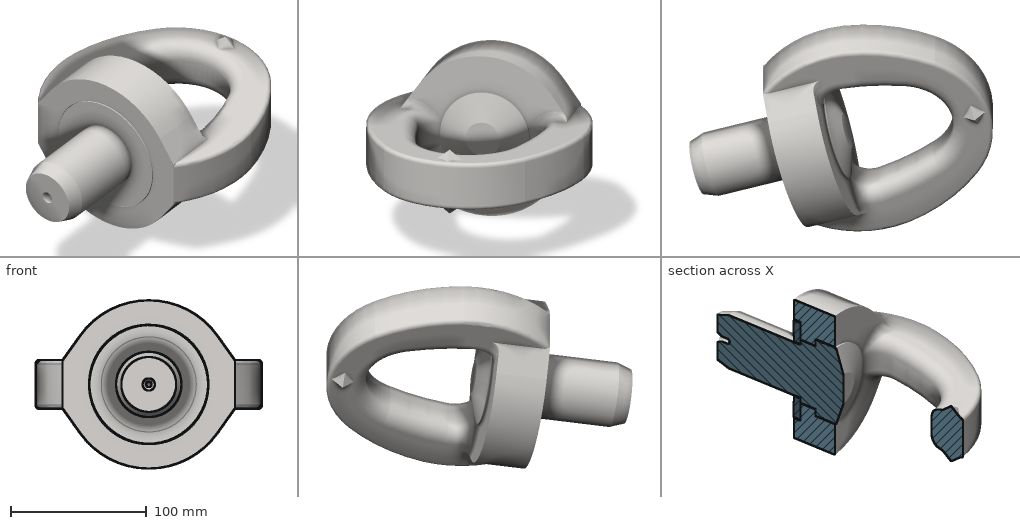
import cadquery as cq
import math


ring_top = 154.3
ring_thickness = 36.0
ring_half = ring_thickness / 2
ring_foot_half_width = 63.3
crown_radius = 70.0
crown_half_angle = 50.0
flank_end = (82.3, 67.9)
ring_half_width = 83.36
ring_widest_y = 54.5
outer_fillet = 3.0

window_top = 125.2
window_crown_radius = 38.0
window_crown_half_angle = 68.0
window_side_end = (46.9, 55.0)
window_floor_half_width = 34.0
window_fillet = 10.0

mark_centre_y = 143.2
mark_half_width = 9.0
mark_half_height = 8.2
mark_rise = 6.9

hub_radius = 62.0
hub_length = 37.6
hub_fillet = 6.0
selection_margin = 0.01

tip_y = -70.0
shank_diameter = 48.0
neck_diameter = 56.0
head_diameter = 68.0
head_bottom = 20.0
head_rim_protrusion = 1.1
head_rim_top = hub_length + head_rim_protrusion
dome_top = 45.4
dome_top_diameter = 26.0
tip_taper_length = 10.8
tip_diameter = 40.4
centre_mouth_diameter = 9.0
centre_drill_diameter = 4.0
centre_drill_depth = 6.0
centre_mouth_half_angle = 30.0
drill_point_half_angle = 59.0

washer_diameter = 87.2
washer_recess_diameter = 88.0
washer_bore = 48.2
washer_top = 6.0
washer_face = -0.5
washer_dish_diameter = 70.0
washer_dish_depth = 0.3


def polar(centre, radius, angle_from_y):
    """Point on a circle, with the angle in degrees measured from +Y towards +X."""
    angle = math.radians(angle_from_y)
    return (centre[0] + radius * math.sin(angle), centre[1] + radius * math.cos(angle))


def mirrored(point):
    return (-point[0], point[1])


def turned(profile):
    """Solid of revolution about Y, from (radius, y) points."""
    return cq.Workplane("XY").polyline(profile).close().revolve(360, (0, 0, 0), (0, 1, 0))


def centred_plate(outline):
    """Plate of the ring's thickness, centred on Z = 0."""
    return outline.extrude(ring_half, both=True)


def ring_outline():
    crown_centre = (0, ring_top - crown_radius)
    return (
        cq.Workplane("XY")
        .moveTo(0, ring_top)
        .threePointArc(
            polar(crown_centre, crown_radius, crown_half_angle / 2),
            polar(crown_centre, crown_radius, crown_half_angle),
        )
        .tangentArcPoint(flank_end, relative=False)
        .threePointArc((ring_half_width, ring_widest_y), (ring_foot_half_width, 0))
        .lineTo(0, 0)
        .mirrorY()
    )


def window_outline():
    crown_centre = (0, window_top - window_crown_radius)
    return (
        cq.Workplane("XY")
        .moveTo(0, window_top)
        .threePointArc(
            polar(crown_centre, window_crown_radius, window_crown_half_angle / 2),
            polar(crown_centre, window_crown_radius, window_crown_half_angle),
        )
        .tangentArcPoint(window_side_end, relative=False)
        .tangentArcPoint((window_floor_half_width, hub_length), relative=False)
        .lineTo(0, hub_length)
        .mirrorY()
    )


def hub_outline():
    """Circle with tangent lines down to the foot of the ring, in the XZ plane."""
    corner = (ring_foot_half_width, ring_half)
    corner_angle = math.degrees(math.atan2(*corner))
    tangent_angle = corner_angle - math.degrees(math.acos(hub_radius / math.hypot(*corner)))
    tangent = polar((0, 0), hub_radius, tangent_angle)
    return (
        cq.Workplane("XZ")
        .moveTo(*tangent)
        .lineTo(*corner)
        .lineTo(corner[0], -corner[1])
        .lineTo(tangent[0], -tangent[1])
        .threePointArc((0, -hub_radius), (-tangent[0], -tangent[1]))
        .lineTo(-corner[0], -corner[1])
        .lineTo(*mirrored(corner))
        .lineTo(*mirrored(tangent))
        .threePointArc((0, hub_radius), tangent)
        .close()
    )


def diamond_mark():
    """Pyramid standing on the +Z face of the ring."""
    corners = [
        cq.Vector(mark_half_width, mark_centre_y, ring_half),
        cq.Vector(0, mark_centre_y + mark_half_height, ring_half),
        cq.Vector(-mark_half_width, mark_centre_y, ring_half),
        cq.Vector(0, mark_centre_y - mark_half_height, ring_half),
    ]
    apex = cq.Vector(0, mark_centre_y, ring_half + mark_rise)
    rims = [corners[::-1]]
    for start, end in zip(corners, corners[1:] + corners[:1]):
        rims.append([start, end, apex])
    faces = [cq.Face.makeFromWires(cq.Wire.makePolygon(rim, close=True)) for rim in rims]
    return cq.Workplane(cq.Solid.makeSolid(cq.Shell.makeShell(faces)))


def window_rims(plate):
    """Edges of the window on both faces of the ring plate."""
    edges = []
    for face in plate.faces(">Z or <Z").vals():
        for wire in face.innerWires():
            edges += wire.Edges()
    return plate.newObject(edges)


def hub_to_ring_corners(body):
    """Inner corners where the hub's upper face meets the ring faces and the rounded window rims."""
    in_hub_top = cq.selectors.BoxSelector(
        (-ring_half_width, hub_length - selection_margin, -ring_half - selection_margin),
        (ring_half_width, hub_length + selection_margin, ring_half + selection_margin),
        boundingbox=True,
    )
    return body.edges(in_hub_top).edges("not |Z")


def build_ring():
    plate = centred_plate(ring_outline())
    plate = plate.faces(">Z or <Z").edges("%CIRCLE").fillet(outer_fillet)
    plate = window_rims(plate.cut(centred_plate(window_outline()))).fillet(window_fillet)
    body = plate.union(hub_outline().extrude(-hub_length))
    body = hub_to_ring_corners(body).fillet(hub_fillet)
    body = body.cut(bolt_seat())
    for mark in (diamond_mark(), diamond_mark().mirror("XY")):
        body = body.union(mark)
    return body


def bolt_seat():
    """Stepped bore of the hub: washer recess, neck bore and head counterbore."""
    return turned(
        [
            (0, 0),
            (washer_recess_diameter / 2, 0),
            (washer_recess_diameter / 2, washer_top),
            (neck_diameter / 2, washer_top),
            (neck_diameter / 2, head_bottom),
            (head_diameter / 2, head_bottom),
            (head_diameter / 2, dome_top),
            (0, dome_top),
        ]
    )


def build_bolt():
    bolt = turned(
        [
            (0, tip_y),
            (tip_diameter / 2, tip_y),
            (shank_diameter / 2, tip_y + tip_taper_length),
            (shank_diameter / 2, washer_top),
            (neck_diameter / 2, washer_top),
            (neck_diameter / 2, head_bottom),
            (head_diameter / 2, head_bottom),
            (head_diameter / 2, head_rim_top),
            (dome_top_diameter / 2, dome_top),
            (0, dome_top),
        ]
    )
    return bolt.cut(centre_hole())


def centre_hole():
    """Centre drilling in the tip: a 60 degree mouth, a pilot hole and its drill point."""
    mouth_radius = centre_mouth_diameter / 2
    drill_radius = centre_drill_diameter / 2
    mouth_bottom = tip_y + (mouth_radius - drill_radius) / math.tan(math.radians(centre_mouth_half_angle))
    drill_bottom = mouth_bottom + centre_drill_depth
    return turned(
        [
            (0, tip_y),
            (mouth_radius, tip_y),
            (drill_radius, mouth_bottom),
            (drill_radius, drill_bottom),
            (0, drill_bottom + drill_radius / math.tan(math.radians(drill_point_half_angle))),
        ]
    )


def build_washer():
    """Washer under the bolt neck, with a slightly dished outer face."""
    return turned(
        [
            (washer_bore / 2, washer_face + washer_dish_depth),
            (washer_dish_diameter / 2, washer_face),
            (washer_diameter / 2, washer_face),
            (washer_diameter / 2, washer_top),
            (washer_bore / 2, washer_top),
        ]
    )


ring = build_ring()
bolt = build_bolt()
washer = build_washer()

result = cq.Compound.makeCompound([*ring.solids().vals(), *bolt.solids().vals(), *washer.vals()])